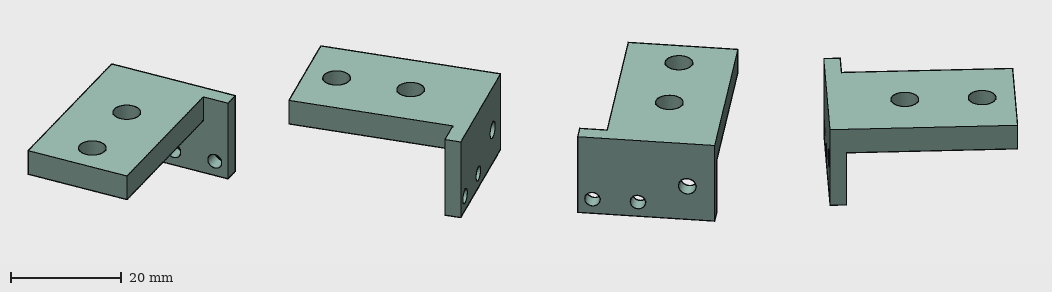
import cadquery as cq

plate_width = 25.0
plate_height = 16.0
plate_thickness = 3.0

bracket_depth = 34.0
shelf_width = 20.0
shelf_thickness = 5.0

shelf_hole_diameter = 5.0
shelf_hole_front_offset = 6.0
shelf_hole_spacing = 14.0
shelf_hole_count = 2

large_hole_diameter = 3.2
large_hole_x = 5.0
large_hole_z = 7.0
small_hole_diameter = 2.8
small_hole_first_x = 14.0
small_hole_spacing = 8.3
small_hole_z = 3.0
small_hole_count = 2


def make_box(width, depth, height, y_start, z_start):
    """Box with its left side at X = 0."""
    return cq.Workplane("XY").box(width, depth, height, centered=False).translate((0, y_start, z_start))


def make_bracket_body():
    plate = make_box(plate_width, plate_thickness, plate_height, bracket_depth - plate_thickness, 0)
    shelf = make_box(shelf_width, bracket_depth, shelf_thickness, 0, plate_height - shelf_thickness)
    return plate.union(shelf)


def make_shelf_holes():
    centers = [
        (shelf_width / 2, shelf_hole_front_offset + i * shelf_hole_spacing)
        for i in range(shelf_hole_count)
    ]
    return cq.Workplane("XY").pushPoints(centers).circle(shelf_hole_diameter / 2).extrude(plate_height)


def make_plate_holes(centers, diameter):
    """Cylinders along Y through the upright plate, at (x, z) centres."""
    back_face = cq.Workplane("XZ", origin=(0, bracket_depth, 0))
    return back_face.pushPoints(centers).circle(diameter / 2).extrude(plate_thickness)


small_hole_centers = [
    (small_hole_first_x + i * small_hole_spacing, small_hole_z)
    for i in range(small_hole_count)
]

result = (
    make_bracket_body()
    .cut(make_shelf_holes())
    .cut(make_plate_holes([(large_hole_x, large_hole_z)], large_hole_diameter))
    .cut(make_plate_holes(small_hole_centers, small_hole_diameter))
)